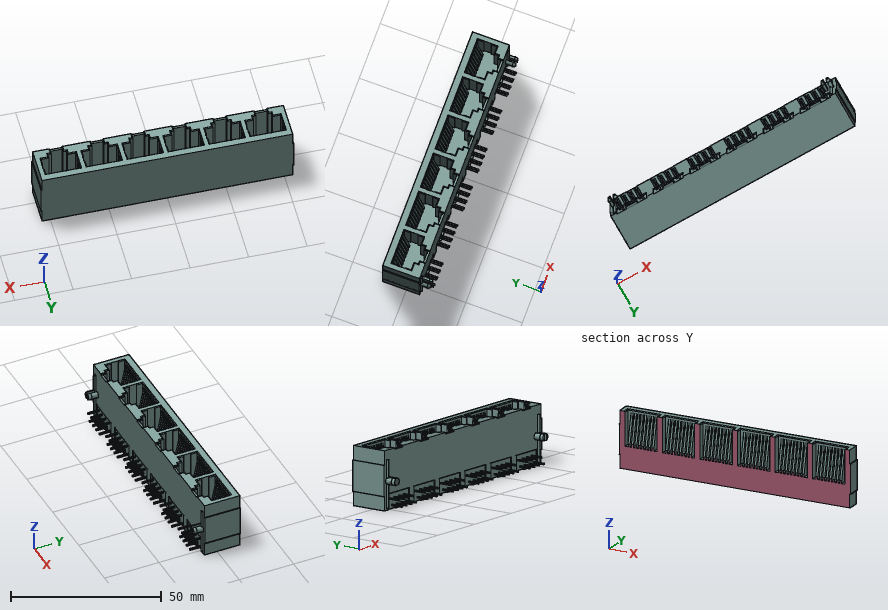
import cadquery as cq


overall_length = 86.4
body_length = 85.7
body_depth = 13.0
body_height = 20.55
side_panel_bottom = 4.9
side_panel_top = 15.6

port_count = 6
port_pitch = 14.0
port_centers = [(i - (port_count - 1) / 2) * port_pitch for i in range(port_count)]
port_floor = 8.2
lead_in = 0.3
port_width = 12.4
port_back = 10.7
port_front = 3.4
step_width = 7.0
step_front = 1.8
latch_width = 4.7
latch_front = 0.8
side_relief_front = 5.7
side_relief_back = 8.3
notch_width = 4.15
notch_drop = 0.5

contact_count = 8
contact_pitch = 1.27
contact_width = 0.8
contact_top = 19.4
contact_reach = 2.3
contact_offsets = [(i - (contact_count - 1) / 2) * contact_pitch for i in range(contact_count)]

pin_width = 0.5
pin_thickness = 0.4
pin_length = 3.7
pin_row_low = 1.2
pin_row_high = 3.6
recess_width = 11.4
recess_height = 5.4
recess_depth = 0.4
foot_height = 0.5
foot_projection = 0.3

rib_x = 41.3
rib_radius = 0.5
rib_bottom = 0.8
rib_top = 17.3
peg_x = 40.6
peg_z = 10.0
peg_slot = 1.0
peg_half_height = 1.2
peg_bulge = 1.1
barb_bulge = 1.3
barb_tip_bulge = 0.9
barb_start = 2.4
peg_length = 3.45


def centered_box(x, width, y_min, y_max, z_min, z_max):
    """Box centred on x, between the given limits along Y and Z."""
    block = cq.Workplane("XY").box(width, y_max - y_min, z_max - z_min, centered=(True, False, False))
    return block.translate((x, y_min, z_min))


def port_outline(z, inset, front):
    """Stepped outline of a port at height z, ending at y = front and inset on all other sides."""
    latch_x = latch_width / 2 - inset
    step_x = step_width / 2 - inset
    port_x = port_width / 2 - inset
    half_outline = [
        (latch_x, front),
        (latch_x, step_front + inset),
        (step_x, step_front + inset),
        (step_x, port_front + inset),
        (port_x, port_front + inset),
        (port_x, port_back - inset),
    ]
    mirrored = [(-x, y) for x, y in reversed(half_outline)]
    return cq.Workplane("XY", origin=(0, 0, z)).polyline(half_outline + mirrored).close()


def port_cavity():
    """Everything removed for one port centred on x = 0."""
    chamfer_bottom = body_height - lead_in
    cavity = port_outline(port_floor, lead_in, latch_front).extrude(chamfer_bottom - port_floor)
    narrow_wire = port_outline(chamfer_bottom, lead_in, 0).wire().val()
    wide_wire = port_outline(body_height, 0, 0).wire().val()
    chamfer = cq.Workplane(cq.Solid.makeLoft([narrow_wire, wide_wire], True))
    side_relief = centered_box(
        0, port_width, side_relief_front, side_relief_back, port_floor, body_height
    )
    notch = centered_box(
        0, notch_width, 0, step_front, body_height - notch_drop, body_height
    )
    return cavity.union(chamfer).union(side_relief).union(notch)


def contact(x):
    """Wedge-shaped spring contact sloping from the back wall down to the port floor."""
    wall = port_back - lead_in
    return (
        cq.Workplane("YZ", origin=(x - contact_width / 2, 0, 0))
        .polyline([(wall, contact_top), (wall, port_floor), (wall - contact_reach, port_floor)])
        .close()
        .extrude(contact_width)
    )


def pin(index, x):
    """Solder pin, alternating between the high and the low row."""
    z = pin_row_high if index % 2 == 0 else pin_row_low
    return centered_box(
        x, pin_width, -pin_length, recess_depth, z - pin_thickness / 2, z + pin_thickness / 2
    )


def crush_rib(x):
    """Vertical rib, half sunk into the mounting face so that it stands out half-round."""
    return (
        cq.Workplane("XY", origin=(x, 0, rib_bottom))
        .circle(rib_radius)
        .extrude(rib_top - rib_bottom)
    )


def prong_section(y, bulge):
    """D-shaped prong outline at depth y, flat at x = 0 and bowed toward +X."""
    return (
        cq.Workplane("XZ", origin=(0, y, 0))
        .moveTo(0, -peg_half_height)
        .threePointArc((bulge, 0), (0, peg_half_height))
        .close()
    )


def split_peg(x):
    """Locating peg of two barbed prongs with a slot between them."""
    shaft = prong_section(0, peg_bulge).extrude(barb_start)
    barb_wire = prong_section(-barb_start, barb_bulge).wire().val()
    tip_wire = prong_section(-peg_length, barb_tip_bulge).wire().val()
    barb = cq.Workplane(cq.Solid.makeLoft([barb_wire, tip_wire], True))
    right_prong = shaft.union(barb).translate((peg_slot / 2, 0, 0))
    left_prong = right_prong.mirror("YZ")
    return right_prong.add(left_prong).translate((x, 0, peg_z))


side_panels = centered_box(0, overall_length, 0, body_depth, side_panel_bottom, side_panel_top)
housing = centered_box(0, body_length, 0, body_depth, 0, body_height).union(side_panels)

cavity = port_cavity()
removed = []
for port_x in port_centers:
    removed += cavity.translate((port_x, 0, 0)).vals()
    removed += centered_box(port_x, recess_width, 0, recess_depth, 0, recess_height).vals()

added = []
for end in (-1, 1):
    added += crush_rib(end * rib_x).vals()
    added += split_peg(end * peg_x).vals()

for port_x in port_centers:
    added += centered_box(
        port_x, notch_width, -foot_projection, recess_depth, 0, foot_height
    ).vals()
    for index, offset in enumerate(contact_offsets):
        added += contact(port_x + offset).vals()
        added += pin(index, port_x + offset).vals()

jack_block = housing.val().cut(*removed).fuse(*added)
result = cq.Workplane(jack_block.Solids()[0])